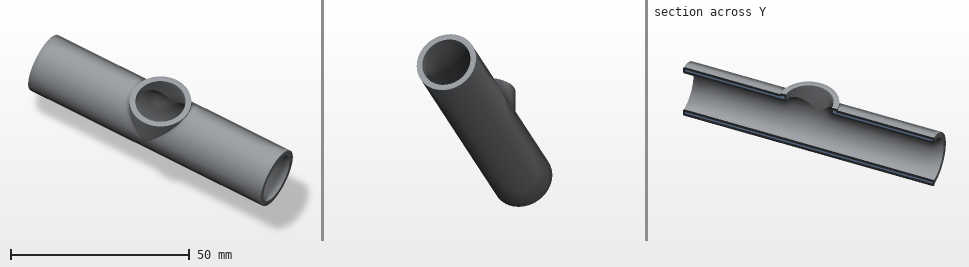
import cadquery as cq

run_length = 76.2
outer_diameter = 17.3
bore_diameter = 14.0
overall_height = 17.75

branch_height = overall_height - outer_diameter / 2


def run_cylinder(diameter):
    """Cylinder along X, centred on the origin."""
    return cq.Workplane("YZ").circle(diameter / 2).extrude(run_length / 2, both=True)


def branch_cylinder(diameter):
    """Cylinder rising along Z from the axis of the run to the branch rim."""
    return cq.Workplane("XY").circle(diameter / 2).extrude(branch_height)


body = run_cylinder(outer_diameter).union(branch_cylinder(outer_diameter))

result = body.cut(run_cylinder(bore_diameter)).cut(branch_cylinder(bore_diameter))